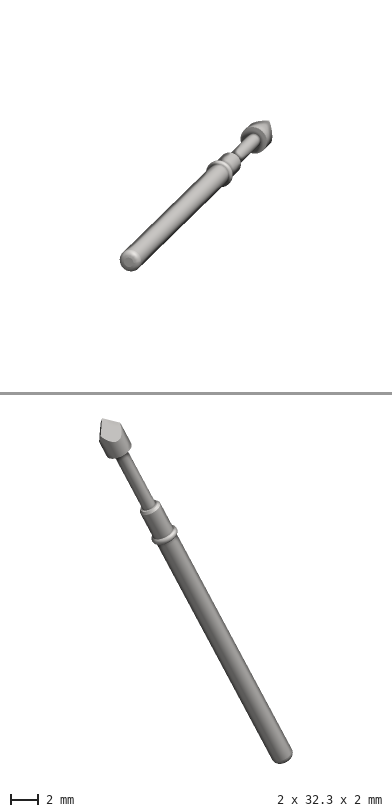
import cadquery as cq
import math


length = 32.3
tip_y = length / 2
tail_y = -length / 2

head_radius = 1.0
head_length = 3.0
stem_radius = 0.52
point_half_angle = 30.0
point_sides = 3

barrel_radius = 0.8
barrel_start = 8.3
mouth_radius = 0.68
mouth_chamfer_length = 0.2
tail_round_radius = 0.45

ring_distance = 11.05
ring_half_width = 0.25

head_base_y = tip_y - head_length
mouth_y = tip_y - barrel_start
ring_y = tip_y - ring_distance
tail_round_y = tail_y + tail_round_radius
tail_face_radius = barrel_radius - tail_round_radius


def make_body():
    """Head, stem and barrel as one profile turned about the Y axis."""
    mid_offset = tail_round_radius / math.sqrt(2)
    tail_mid = (tail_face_radius + mid_offset, tail_round_y - mid_offset)
    profile = (
        cq.Workplane("XY")
        .moveTo(0, tip_y)
        .lineTo(head_radius, tip_y)
        .lineTo(head_radius, head_base_y)
        .lineTo(stem_radius, head_base_y)
        .lineTo(stem_radius, mouth_y)
        .lineTo(mouth_radius, mouth_y)
        .lineTo(barrel_radius, mouth_y - mouth_chamfer_length)
        .lineTo(barrel_radius, tail_round_y)
        .threePointArc(tail_mid, (tail_face_radius, tail_y))
        .lineTo(0, tail_y)
        .close()
    )
    return profile.revolve(360, (0, 0, 0), (0, 1, 0))


def make_ring():
    """Ring with a rounded outer edge, reaching as far out as the head."""
    crown_radius = head_radius - ring_half_width
    profile = (
        cq.Workplane("XY")
        .moveTo(0, ring_y + ring_half_width)
        .lineTo(crown_radius, ring_y + ring_half_width)
        .threePointArc((head_radius, ring_y), (crown_radius, ring_y - ring_half_width))
        .lineTo(0, ring_y - ring_half_width)
        .close()
    )
    return profile.revolve(360, (0, 0, 0), (0, 1, 0))


def cut_point(body):
    """Grind equal flats that meet at the tip, the first one facing +X."""
    flat_length = head_radius / math.tan(math.radians(point_half_angle))
    overreach = 2
    reach = overreach * head_radius
    waste = (
        cq.Workplane("XY")
        .moveTo(0, tip_y)
        .lineTo(reach, tip_y)
        .lineTo(reach, tip_y - overreach * flat_length)
        .close()
        .extrude(reach, both=True)
    )
    for side in range(point_sides):
        turn = side * 360 / point_sides
        body = body.cut(waste.rotate((0, 0, 0), (0, 1, 0), turn))
    return body


result = cut_point(make_body()).union(make_ring())